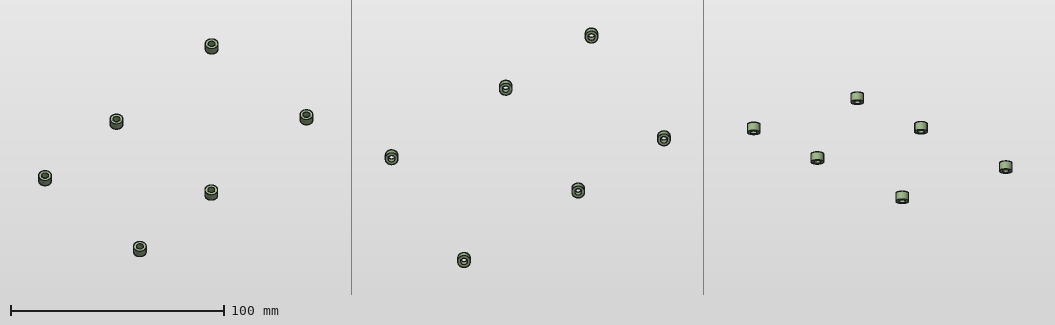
import cadquery as cq

outer_diameter = 6.0
bore_diameter = 3.2
spacer_height = 4.0

overall_length = 118.0
column_spacing = 62.0
front_row_spacing = 48.0

front_row_y = -(overall_length - outer_diameter) / 2
middle_row_y = front_row_y + front_row_spacing
back_row_y = -front_row_y

column_positions = [-column_spacing / 2, column_spacing / 2]
row_positions = [front_row_y, middle_row_y, back_row_y]


def make_spacer(x, y):
    """Plain round sleeve standing on Z = 0, with a through bore."""
    return (
        cq.Workplane("XY")
        .center(x, y)
        .circle(outer_diameter / 2)
        .circle(bore_diameter / 2)
        .extrude(spacer_height)
    )


spacers = []
for x in column_positions:
    for y in row_positions:
        spacers.append(make_spacer(x, y).val())

result = cq.Compound.makeCompound(spacers)